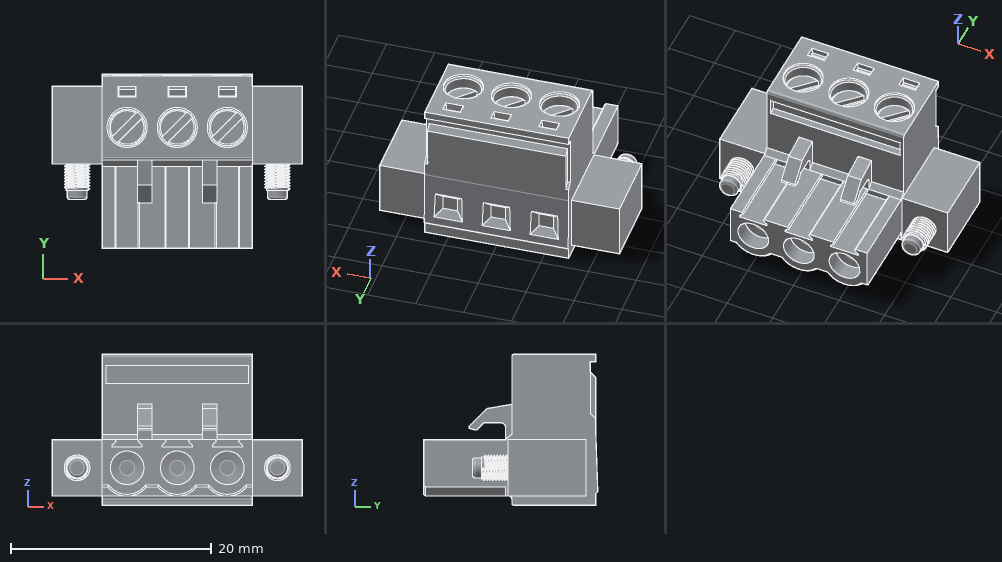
import cadquery as cq

poles = 3
pitch = 5.0
plug_width = poles * pitch
pole_xs = [(i - (poles - 1) / 2) * pitch for i in range(poles)]

housing_top = 15.1
housing_front = 8.8
housing_back = 17.2
front_edge_round = 0.25
wedge_depth = 0.2
wedge_top, wedge_low, wedge_end = 7.25, 1.38, 1.18

groove_depth = 0.55
groove_top, groove_bottom = 14.32, 8.62
plate_inset = 0.3
plate_top = 13.32

nose_bottom, nose_top = 0.92, 6.58
nose_back = 8.18
nose_mid = (nose_bottom + nose_top) / 2
shoulder_top = 7.1
underside_round = 0.3
scallop_flat = 1.85
scallop_half_width = 1.92
scallop_chamfer = 0.18

contact_radius = 1.68
contact_depth = 1.65
contact_end_radius = 0.75
contact_cone_length = 0.18

slot_depth = 0.72
slot_half_throat = 1.1
slot_lip_chamfer = 0.12
slot_half_bottom = 1.5
slot_lip = 0.18
slot_foot = 0.15

label_inset = 0.38
label_bottom, label_top = 12.18, 13.98
label_depth = 0.75

latch_width = 1.48
latch_center_x = pitch / 2 + latch_width / 2
latch_root_top = 10.1
latch_knee = (6.32, 9.68)
latch_tip = (4.55, 7.9)
latch_tip_end = (4.55, 7.68)
latch_tip_low = (5.1, 7.52)
latch_tip_back = (5.32, 7.52)
latch_underside = 8.22
latch_corner_round = 0.45

screw_y = 12.08
screw_rim_radius = 2.0
screw_rim_depth = 0.22
screw_rim_bevel = 0.18
screw_bore_radius = 1.82
screw_head_depth = 1.45
screw_head_chamfer = 0.15
driver_slot_width = 0.8
driver_slot_depth = 0.65
driver_slot_angle = 45

test_width = 1.8
test_front, test_back = 15.12, 16.18
test_depth = 0.62
test_wall_draft = 0.088
test_ridge_y = 15.85
test_floor_drop = 0.25

wire_opening = 3.0
wire_funnel_depth = 0.75

flange_width = 5.0
flange_front, flange_back = 8.42, 16.2
flange_screw_x = plug_width / 2 + flange_width / 2

thread_radius = 1.28
thread_root_radius = 1.1
thread_pitch = 0.3
thread_ridge_width = 0.28
thread_overlap = 0.05
thread_end = 5.8
pilot_radius = 1.0
pilot_end = 4.88
pilot_round = 0.28


def box(x0, x1, y0, y1, z0, z1):
    return cq.Workplane("XY").box(x1 - x0, y1 - y0, z1 - z0, centered=False).translate((x0, y0, z0))


def side_profile(points, width, center_x=0.0):
    """Close a (Y, Z) outline and extrude it along X, centred on center_x."""
    outline = cq.Workplane("YZ", origin=(center_x, 0, 0)).polyline(points).close()
    return outline.extrude(width / 2, both=True)


def make_housing():
    block = side_profile(
        [
            (housing_front, 0),
            (housing_front, nose_bottom),
            (nose_back, nose_bottom),
            (nose_back, nose_top),
            (housing_front, shoulder_top),
            (housing_front, housing_top),
            (housing_back, housing_top),
            (housing_back, wedge_top),
            (housing_back + wedge_depth, wedge_low),
            (housing_back, wedge_end),
            (housing_back, 0),
        ],
        plug_width,
    )
    rounds = [(0, front_edge_round), (nose_bottom, underside_round), (housing_top, front_edge_round)]
    for z, radius in rounds:
        edge = cq.selectors.NearestToPointSelector((0, housing_front, z))
        block = block.edges(edge).fillet(radius)
    return block


def make_groove():
    floor = housing_back - groove_depth
    groove = side_profile(
        [
            (floor, groove_top),
            (housing_back, groove_top),
            (housing_back, groove_bottom),
            (floor, groove_bottom + groove_depth),
        ],
        plug_width,
    )
    plate = side_profile(
        [
            (floor, plate_top),
            (housing_back, plate_top - groove_depth),
            (housing_back, groove_bottom),
            (floor, groove_bottom),
        ],
        plug_width - 2 * plate_inset,
    )
    return groove.cut(plate)


def make_nose():
    outline = cq.Workplane("XZ").moveTo(-plug_width / 2, nose_top).lineTo(-plug_width / 2, scallop_flat)
    for x in pole_xs:
        outline = outline.lineTo(x - scallop_half_width, scallop_flat)
        outline = outline.threePointArc((x, nose_bottom), (x + scallop_half_width, scallop_flat))
    outline = outline.lineTo(plug_width / 2, scallop_flat).lineTo(plug_width / 2, nose_top).close()
    nose = outline.extrude(-nose_back)
    lower_half = cq.selectors.BoxSelector((-plug_width, -nose_back, 0), (plug_width, nose_back, nose_mid))
    bottom_edge = nose.faces("<Y").edges("not |Z").edges(lower_half)
    return bottom_edge.chamfer(scallop_chamfer)


def make_contact_opening(x):
    end = contact_depth + contact_cone_length
    opening = (
        cq.Workplane("XY")
        .polyline(
            [(0, 0), (contact_radius, 0), (contact_radius, contact_depth), (contact_end_radius, end), (0, end)]
        )
        .close()
        .revolve(360, (0, 0, 0), (0, 1, 0))
    )
    return opening.translate((x, 0, nose_mid))


def make_coding_slot(x):
    floor = nose_top - slot_depth
    right = [
        (x + slot_half_bottom, floor),
        (x + slot_half_bottom, floor + slot_foot),
        (x + slot_half_throat, nose_top - slot_lip),
        (x + slot_half_throat + slot_lip_chamfer, nose_top),
    ]
    left = [(2 * x - px, pz) for px, pz in reversed(right)]
    return cq.Workplane("XZ").polyline(right + left).close().extrude(-nose_back)


def make_latch(x):
    latch = side_profile(
        [
            (housing_front, nose_top),
            (housing_front, latch_root_top),
            latch_knee,
            latch_tip,
            latch_tip_end,
            latch_tip_low,
            latch_tip_back,
            (latch_tip_back[0] + latch_underside - latch_tip_back[1], latch_underside),
            (nose_back, latch_underside),
            (nose_back, nose_top),
        ],
        latch_width,
        x,
    )
    inner_corner = cq.selectors.NearestToPointSelector((x, nose_back, latch_underside))
    return latch.edges(inner_corner).fillet(latch_corner_round)


def make_screw_well(x):
    """Empty space above a recessed slotted screw head."""
    top = cq.Workplane("XY", origin=(x, screw_y, housing_top))
    rim = top.circle(screw_rim_radius).extrude(-screw_rim_depth)
    bevel = (
        top.workplane(offset=-screw_rim_depth - screw_rim_bevel)
        .circle(screw_bore_radius)
        .workplane(offset=screw_rim_bevel)
        .circle(screw_rim_radius)
        .loft()
    )
    bore = top.circle(screw_bore_radius).extrude(-screw_head_depth - screw_head_chamfer)
    head = (
        top.workplane(offset=-screw_head_depth - screw_head_chamfer)
        .circle(screw_bore_radius)
        .workplane(offset=screw_head_chamfer)
        .circle(screw_bore_radius - screw_head_chamfer)
        .loft()
    )
    driver_slot = (
        top.workplane(offset=-screw_head_depth - driver_slot_depth)
        .transformed(rotate=(0, 0, driver_slot_angle))
        .rect(2 * screw_bore_radius, driver_slot_width)
        .extrude(driver_slot_depth)
        .intersect(top.circle(screw_bore_radius).extrude(-screw_head_depth - driver_slot_depth))
    )
    return rim.union(bevel).union(bore.cut(head)).union(driver_slot)


def make_test_opening(x):
    """Pocket with three drafted walls, an upright rear wall and a floor falling to the front."""
    back_z = housing_top - test_depth
    front_z = back_z - test_floor_drop
    depth = housing_top - front_z
    length = test_back - test_front
    pocket = (
        cq.Workplane("XY", origin=(x, (test_front + test_back) / 2, housing_top))
        .rect(test_width, length)
        .workplane(offset=-depth)
        .center(0, test_wall_draft / 2)
        .rect(test_width - 2 * test_wall_draft, length - test_wall_draft)
        .loft(ruled=True)
    )
    above_floor = side_profile(
        [
            (test_front, housing_top),
            (test_front, front_z),
            (test_ridge_y, back_z),
            (test_back, back_z),
            (test_back, housing_top),
        ],
        test_width,
        x,
    )
    return pocket.intersect(above_floor)


def make_wire_funnel(x):
    """Square recess with 45 degree walls and a flat end."""
    end = wire_opening - 2 * wire_funnel_depth
    return (
        cq.Workplane("XZ", origin=(x, housing_back + wedge_depth, nose_mid))
        .rect(wire_opening, wire_opening)
        .workplane(offset=wire_funnel_depth)
        .rect(end, end)
        .loft(ruled=True)
    )


def make_fixing_screw(x):
    """Screw along -Y: threaded length followed by a plain rounded pilot."""
    axis = cq.Workplane("XZ", origin=(x, flange_front, nose_mid))
    core = axis.circle(thread_root_radius).extrude(flange_front - thread_end)
    pilot = axis.circle(pilot_radius).extrude(flange_front - pilot_end).faces("<Y").edges().fillet(pilot_round)
    root = thread_root_radius - thread_overlap
    half = thread_ridge_width / 2
    length = flange_front - thread_end
    helix = cq.Wire.makeHelix(thread_pitch, length, root)
    thread = (
        cq.Workplane("XZ")
        .polyline([(root, -half), (thread_radius, 0), (root, half)])
        .close()
        .sweep(cq.Workplane(helix), isFrenet=True)
    )
    thread = thread.rotate((0, 0, 0), (1, 0, 0), -90).translate((x, thread_end + half, nose_mid))
    return core.union(pilot).union(thread)


def make_flange(side):
    x0 = side * plug_width / 2
    x1 = side * (plug_width / 2 + flange_width)
    return box(min(x0, x1), max(x0, x1), flange_front, flange_back, nose_bottom, nose_top)


label_half = plug_width / 2 - label_inset
label = box(-label_half, label_half, housing_front, housing_front + label_depth, label_bottom, label_top)

plug = make_housing().cut(make_groove()).cut(label).union(make_nose())
for x in pole_xs:
    plug = plug.cut(make_contact_opening(x)).cut(make_coding_slot(x)).cut(make_screw_well(x))
    plug = plug.cut(make_test_opening(x)).cut(make_wire_funnel(x))
for side in (-1, 1):
    plug = plug.union(make_latch(side * latch_center_x))
    plug = plug.union(make_flange(side)).union(make_fixing_screw(side * flange_screw_x))

result = plug